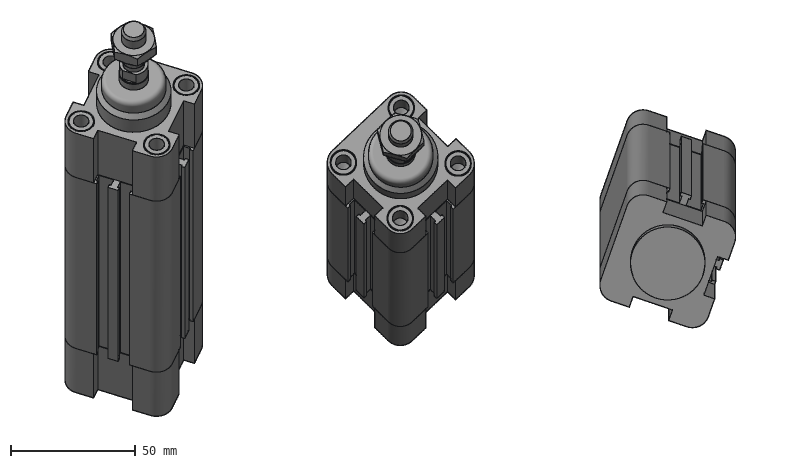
import cadquery as cq
import math

BODY_SIDE = 46.0
CORNER_RADIUS = 6.9
HALF_SIDE = BODY_SIDE / 2

TOTAL_HEIGHT = 221.0
END_CAP_BOTTOM = 4.5
CAP_HEIGHT = 28.7
BARREL_BOTTOM = END_CAP_BOTTOM + CAP_HEIGHT
BARREL_HEIGHT = 111.2
BARREL_TOP = BARREL_BOTTOM + BARREL_HEIGHT
HEAD_CAP_TOP = BARREL_TOP + CAP_HEIGHT
COLLAR_HEIGHT = 16.0
COLLAR_TOP = HEAD_CAP_TOP + COLLAR_HEIGHT

GROOVE_ANGLES = (0, 90, -90)
CAP_GROOVE_WIDTH = 16.8
CAP_GROOVE_DEPTH = 4.6
BARREL_GROOVE_WIDTH = 15.5
BARREL_GROOVE_DEPTH = 4.5
LIP_OPENING_WIDTH = 14.1
LIP_THICKNESS = 1.5
RIB_HEAD_WIDTH = 4.5
RIB_STEM_WIDTH = 2.9

COLLAR_DIAMETER = 30.0
UPPER_COLLAR_DIAMETER = 26.0
SHOULDER_HEIGHT = 8.0
COLLAR_EDGE_RADIUS = 2.0

HOLE_OFFSET = 16.4
HOLE_DIAMETER = 6.2
HOLE_DEPTH = 11.0
DRILL_POINT_ANGLE = 120
RING_OUTER_DIAMETER = 10.5
RING_INNER_DIAMETER = 10.0
RING_DEPTH = 0.9

ROD_DIAMETER = 12.0
FLATS_DIAMETER = 11.5
THREAD_DIAMETER = 10.0
NECK_DIAMETER = 8.8
TIP_DIAMETER = 8.5
ROD_SHOULDER = 192.7
NECK_BOTTOM = 198.7
NECK_TOP = 201.0
FLATS_BOTTOM = 193.4
WRENCH_FLAT_WIDTH = 10.0
THREAD_CHAMFER_HEIGHT = 1.5
NECK_CHAMFER_HEIGHT = 0.7

NUT_BOTTOM = 208.6
NUT_HEIGHT = 6.0
NUT_SIDES = 6
NUT_ACROSS_FLATS = 17.0
NUT_FACE_DIAMETER = 16.8
NUT_CHAMFER_ANGLE = 30


def square_block(bottom, height):
    """Square prism with rounded vertical edges."""
    block = cq.Workplane("XY").workplane(offset=bottom).rect(BODY_SIDE, BODY_SIDE).extrude(height)
    return block.edges("|Z").fillet(CORNER_RADIUS)


def front_strip(width, start_depth, end_depth, bottom, height):
    """Box centred on the front (-Y) face, lying between two depths behind it."""
    strip_depth = end_depth - start_depth
    center_y = -HALF_SIDE + start_depth + strip_depth / 2
    return (
        cq.Workplane("XY")
        .workplane(offset=bottom)
        .center(0, center_y)
        .rect(width, strip_depth)
        .extrude(height)
    )


def cut_on_grooved_sides(block, cutter):
    """Cut the same groove into every grooved side."""
    for angle in GROOVE_ANGLES:
        block = block.cut(cutter.rotate((0, 0, 0), (0, 0, 1), angle))
    return block


def cap_block(bottom):
    """Cap body with a plain rectangular groove in each grooved side."""
    groove = front_strip(CAP_GROOVE_WIDTH, 0, CAP_GROOVE_DEPTH, bottom, CAP_HEIGHT)
    return cut_on_grooved_sides(square_block(bottom, CAP_HEIGHT), groove)


def cylinder(diameter, bottom, top):
    return cq.Workplane("XY").workplane(offset=bottom).circle(diameter / 2).extrude(top - bottom)


def head_collar():
    """Stepped collar with a conical shoulder and a rounded top edge."""
    radius = COLLAR_DIAMETER / 2
    upper_radius = UPPER_COLLAR_DIAMETER / 2
    shoulder = HEAD_CAP_TOP + SHOULDER_HEIGHT
    collar = (
        cq.Workplane("XZ")
        .moveTo(0, HEAD_CAP_TOP)
        .lineTo(radius, HEAD_CAP_TOP)
        .lineTo(radius, shoulder)
        .lineTo(upper_radius, shoulder + radius - upper_radius)
        .lineTo(upper_radius, COLLAR_TOP)
        .lineTo(0, COLLAR_TOP)
        .close()
        .revolve(360, (0, 0), (0, 1))
    )
    return collar.faces(">Z").edges().fillet(COLLAR_EDGE_RADIUS)


def screw_hole():
    """Cutter for one blind hole with a conical bottom and the thin ring groove around its mouth."""
    radius = HOLE_DIAMETER / 2
    hole_bottom = HEAD_CAP_TOP - HOLE_DEPTH
    point_height = radius / math.tan(math.radians(DRILL_POINT_ANGLE / 2))
    hole = (
        cq.Workplane("XZ")
        .moveTo(0, hole_bottom - point_height)
        .lineTo(radius, hole_bottom)
        .lineTo(radius, HEAD_CAP_TOP)
        .lineTo(0, HEAD_CAP_TOP)
        .close()
        .revolve(360, (0, 0), (0, 1))
    )
    ring_floor = HEAD_CAP_TOP - RING_DEPTH
    ring_core = cylinder(RING_INNER_DIAMETER, ring_floor, HEAD_CAP_TOP)
    ring = cylinder(RING_OUTER_DIAMETER, ring_floor, HEAD_CAP_TOP).cut(ring_core)
    return hole.add(ring).combine()


def make_head_cap():
    cap = cap_block(BARREL_TOP).union(head_collar())
    for x in (-HOLE_OFFSET, HOLE_OFFSET):
        for y in (-HOLE_OFFSET, HOLE_OFFSET):
            cap = cap.cut(screw_hole().translate((x, y, 0)))
    return cap.cut(cylinder(ROD_DIAMETER, BARREL_TOP, COLLAR_TOP))


def make_end_cap():
    return cap_block(END_CAP_BOTTOM).union(cylinder(COLLAR_DIAMETER, 0, END_CAP_BOTTOM))


def make_barrel():
    """Profile barrel whose grooves each have a lipped opening and a T-shaped central rib."""
    span = (BARREL_BOTTOM, BARREL_HEIGHT)
    opening = front_strip(LIP_OPENING_WIDTH, 0, LIP_THICKNESS, *span)
    undercut = front_strip(BARREL_GROOVE_WIDTH, LIP_THICKNESS, BARREL_GROOVE_DEPTH, *span)
    rib_head = front_strip(RIB_HEAD_WIDTH, 0, LIP_THICKNESS, *span)
    rib_stem = front_strip(RIB_STEM_WIDTH, LIP_THICKNESS, BARREL_GROOVE_DEPTH, *span)
    groove = opening.cut(rib_head).union(undercut.cut(rib_stem))
    return cut_on_grooved_sides(square_block(*span), groove)


def make_rod():
    """Piston rod with wrench flats, a relief neck and a chamfered end that carries the nut."""
    neck_radius = NECK_DIAMETER / 2
    thread_radius = THREAD_DIAMETER / 2
    rod = (
        cq.Workplane("XZ")
        .moveTo(0, BARREL_TOP)
        .lineTo(ROD_DIAMETER / 2, BARREL_TOP)
        .lineTo(ROD_DIAMETER / 2, ROD_SHOULDER)
        .lineTo(FLATS_DIAMETER / 2, ROD_SHOULDER)
        .lineTo(FLATS_DIAMETER / 2, NECK_BOTTOM)
        .lineTo(neck_radius, NECK_BOTTOM)
        .lineTo(neck_radius, NECK_TOP)
        .lineTo(thread_radius, NECK_TOP + NECK_CHAMFER_HEIGHT)
        .lineTo(thread_radius, TOTAL_HEIGHT - THREAD_CHAMFER_HEIGHT)
        .lineTo(TIP_DIAMETER / 2, TOTAL_HEIGHT)
        .lineTo(0, TOTAL_HEIGHT)
        .close()
        .revolve(360, (0, 0), (0, 1))
    )
    flat_band = (
        cq.Workplane("XY")
        .workplane(offset=FLATS_BOTTOM)
        .rect(FLATS_DIAMETER, WRENCH_FLAT_WIDTH)
        .extrude(NECK_BOTTOM - FLATS_BOTTOM)
    )
    flats_cutter = cylinder(ROD_DIAMETER, FLATS_BOTTOM, NECK_BOTTOM).cut(flat_band)
    return rod.cut(flats_cutter)


def make_nut():
    """Hexagon nut with flats facing +/-Y and both end faces chamfered."""
    corner_diameter = NUT_ACROSS_FLATS / math.cos(math.pi / NUT_SIDES)
    corner_radius = corner_diameter / 2
    face_radius = NUT_FACE_DIAMETER / 2
    chamfer_height = (corner_radius - face_radius) * math.tan(math.radians(NUT_CHAMFER_ANGLE))
    nut_top = NUT_BOTTOM + NUT_HEIGHT
    hexagon = (
        cq.Workplane("XY")
        .workplane(offset=NUT_BOTTOM)
        .polygon(NUT_SIDES, corner_diameter)
        .extrude(NUT_HEIGHT)
    )
    chamfer_envelope = (
        cq.Workplane("XZ")
        .moveTo(0, NUT_BOTTOM)
        .lineTo(face_radius, NUT_BOTTOM)
        .lineTo(corner_radius, NUT_BOTTOM + chamfer_height)
        .lineTo(corner_radius, nut_top - chamfer_height)
        .lineTo(face_radius, nut_top)
        .lineTo(0, nut_top)
        .close()
        .revolve(360, (0, 0), (0, 1))
    )
    return hexagon.intersect(chamfer_envelope).cut(cylinder(THREAD_DIAMETER, NUT_BOTTOM, nut_top))


head_cap = make_head_cap()
end_cap = make_end_cap()
barrel = make_barrel()
rod = make_rod()
nut = make_nut()

result = cq.Compound.makeCompound([head_cap.val(), end_cap.val(), barrel.val(), rod.val(), nut.val()])